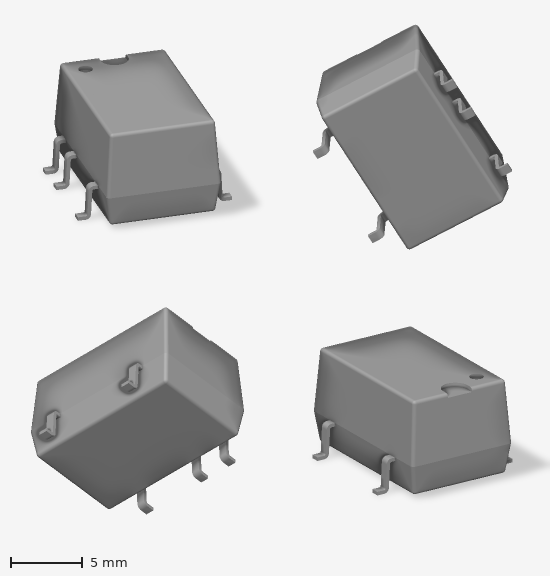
import cadquery as cq
import math

BODY_LENGTH = 12.7
BODY_WIDTH = 8.29
BODY_BOTTOM = 0.25
PARTING_HEIGHT = 2.53
BODY_TOP = 7.25
UPPER_DRAFT = 4.0
LOWER_DRAFT = 8.0
EDGE_RADIUS = 0.25

MARKING_DRAFT = 4.0
NOTCH_RADIUS = 1.0
NOTCH_CENTER_X = -5.44
NOTCH_DEPTH = 0.3
DIMPLE_RADIUS = 0.51
DIMPLE_X = -4.46
DIMPLE_Y = -2.4
DIMPLE_DEPTH = 0.3

LEAD_SPAN = 11.2
LEAD_WIDTH = 0.64
LEAD_THICKNESS = 0.27
LEAD_LEAN = 3.0
LEAD_INNER_RADIUS = 0.13
LEAD_OUTER_RADIUS = LEAD_INNER_RADIUS + LEAD_THICKNESS
SHOULDER_REACH = 4.8
LEAD_EMBEDMENT = 0.64
LEAD_ROOT = BODY_WIDTH / 2 - LEAD_EMBEDMENT
PITCH = 2.54
FRONT_LEADS_X = (-1.5 * PITCH, -0.5 * PITCH, 1.5 * PITCH)
BACK_LEADS_X = (-1.5 * PITCH, 1.5 * PITCH)


def body_half(height, draft):
    """Tapered block from the parting plane, rounded everywhere but on that plane."""
    parting_face = "<Z" if height > 0 else ">Z"
    return (
        cq.Workplane("XY", origin=(0, 0, PARTING_HEIGHT))
        .rect(BODY_LENGTH, BODY_WIDTH)
        .extrude(height, taper=draft)
        .edges(f"not {parting_face}")
        .fillet(EDGE_RADIUS)
    )


def top_notch():
    """Round-ended recess that opens through the -X side."""
    open_end_x = -BODY_LENGTH / 2 - NOTCH_RADIUS
    return (
        cq.Workplane("XY", origin=(0, 0, BODY_TOP))
        .moveTo(open_end_x, -NOTCH_RADIUS)
        .lineTo(NOTCH_CENTER_X, -NOTCH_RADIUS)
        .threePointArc((NOTCH_CENTER_X + NOTCH_RADIUS, 0), (NOTCH_CENTER_X, NOTCH_RADIUS))
        .lineTo(open_end_x, NOTCH_RADIUS)
        .close()
        .extrude(-NOTCH_DEPTH, taper=MARKING_DRAFT)
    )


def top_dimple():
    """Round recess beside the notch."""
    top_face = cq.Workplane("XY", origin=(DIMPLE_X, DIMPLE_Y, BODY_TOP))
    return top_face.circle(DIMPLE_RADIUS).extrude(-DIMPLE_DEPTH, taper=MARKING_DRAFT)


def lead(x):
    """Gull-wing lead on the +Y side: shoulder, leaning leg and flat foot."""
    lean = math.radians(LEAD_LEAN)
    leg_offset = LEAD_THICKNESS / math.cos(lean)

    def leg_outer_y(z):
        return SHOULDER_REACH + (PARTING_HEIGHT - z) * math.tan(lean)

    shoulder_underside = PARTING_HEIGHT - LEAD_THICKNESS
    profile = [
        (LEAD_ROOT, PARTING_HEIGHT),
        (SHOULDER_REACH, PARTING_HEIGHT),
        (leg_outer_y(LEAD_THICKNESS), LEAD_THICKNESS),
        (LEAD_SPAN / 2, LEAD_THICKNESS),
        (LEAD_SPAN / 2, 0),
        (leg_outer_y(0) - leg_offset, 0),
        (leg_outer_y(shoulder_underside) - leg_offset, shoulder_underside),
        (LEAD_ROOT, shoulder_underside),
    ]
    strip = (
        cq.Workplane("YZ", origin=(x - LEAD_WIDTH / 2, 0, 0))
        .polyline(profile)
        .close()
        .extrude(LEAD_WIDTH)
    )
    shoulder_outer, foot_top, foot_bottom, shoulder_inner = profile[1], profile[2], profile[5], profile[6]
    bends = (
        (shoulder_outer, LEAD_OUTER_RADIUS),
        (foot_top, LEAD_INNER_RADIUS),
        (foot_bottom, LEAD_OUTER_RADIUS),
        (shoulder_inner, LEAD_INNER_RADIUS),
    )
    for (y, z), radius in bends:
        strip = strip.edges(cq.NearestToPointSelector((x, y, z))).fillet(radius)
    return strip


result = body_half(BODY_TOP - PARTING_HEIGHT, UPPER_DRAFT)
result = result.union(body_half(BODY_BOTTOM - PARTING_HEIGHT, LOWER_DRAFT))
result = result.cut(top_notch()).cut(top_dimple())

for lead_x in BACK_LEADS_X:
    result = result.union(lead(lead_x))
for lead_x in FRONT_LEADS_X:
    result = result.union(lead(lead_x).mirror("XZ"))